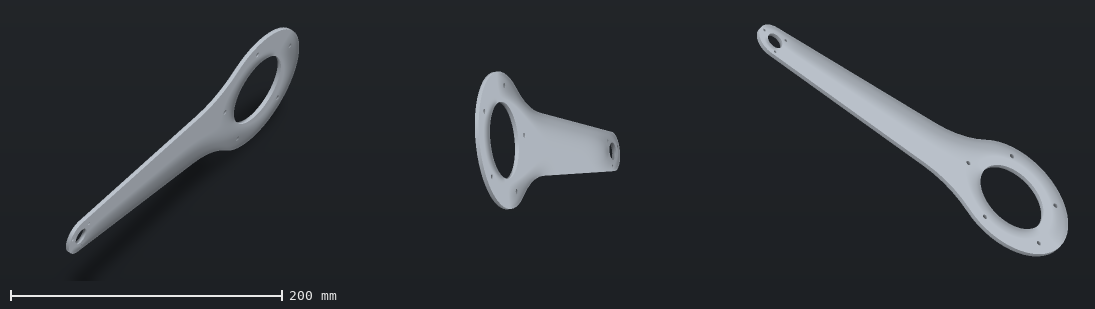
import cadquery as cq
import math

thickness = 3.0
overall_length = 279.5
overall_height = 106.2

hub_radius = 51.0
hub_bore_diameter = 57.0
hub_hole_diameter = 4.0
hub_hole_circle_radius = 41.5
hub_hole_count = 5

tip_radius = 14.5
tip_bore_diameter = 13.1
tip_hole_diameter = 2.38
tip_hole_circle_radius = 11.2
tip_hole_count = 3

edge_offset_at_hub = 28.0
neck_radius = 78.3

tip_u = overall_length - hub_radius - tip_radius
tip_v = overall_height - hub_radius - tip_radius
arm_length = math.hypot(tip_u, tip_v)
arm_angle = math.atan2(tip_v, tip_u)
taper_angle = math.asin((edge_offset_at_hub - tip_radius) / arm_length)


def polar(center, radius, angle):
    return (center[0] + radius * math.cos(angle), center[1] + radius * math.sin(angle))


def edge_points(side):
    """Hub tangency, neck arc middle, line start and tip tangency; side is +1 above, -1 below."""
    normal_angle = arm_angle + side * (math.pi / 2 - taper_angle)
    neck_turn = math.acos((edge_offset_at_hub + neck_radius) / (hub_radius + neck_radius))
    neck_angle = normal_angle - side * neck_turn
    neck_center = polar((0, 0), hub_radius + neck_radius, neck_angle)
    hub_tangent = polar((0, 0), hub_radius, neck_angle)
    neck_middle = polar(neck_center, -neck_radius, normal_angle - side * neck_turn / 2)
    line_start = polar(neck_center, -neck_radius, normal_angle)
    tip_tangent = polar((tip_u, tip_v), tip_radius, normal_angle)
    return hub_tangent, neck_middle, line_start, tip_tangent


def hole_pattern(center, circle_radius, count, start_angle):
    """Equally spaced points on a circle."""
    return [polar(center, circle_radius, start_angle + 2 * math.pi * i / count) for i in range(count)]


def make_blank():
    """Arm outline: hub, concave necks, tapering edges and round tip."""
    top_hub, top_neck, top_line, top_tip = edge_points(1)
    low_hub, low_neck, low_line, low_tip = edge_points(-1)
    return (
        plate_plane()
        .moveTo(*top_hub)
        .threePointArc(top_neck, top_line)
        .lineTo(*top_tip)
        .threePointArc(polar((tip_u, tip_v), tip_radius, arm_angle), low_tip)
        .lineTo(*low_line)
        .threePointArc(low_neck, low_hub)
        .threePointArc(polar((0, 0), -hub_radius, arm_angle), top_hub)
        .close()
        .extrude(thickness)
    )


def plate_plane():
    """Sketch plane at the +X face, extruding towards -X."""
    return cq.Workplane(cq.Plane(origin=(thickness, 0, 0), xDir=(0, -1, 0), normal=(-1, 0, 0)))


def make_holes(points, diameter):
    return plate_plane().pushPoints(points).circle(diameter / 2).extrude(thickness)


hub_holes = hole_pattern((0, 0), hub_hole_circle_radius, hub_hole_count, math.pi / 2)
tip_holes = hole_pattern((tip_u, tip_v), tip_hole_circle_radius, tip_hole_count, -math.pi / 2)

result = (
    make_blank()
    .cut(make_holes([(0, 0)], hub_bore_diameter))
    .cut(make_holes(hub_holes, hub_hole_diameter))
    .cut(make_holes([(tip_u, tip_v)], tip_bore_diameter))
    .cut(make_holes(tip_holes, tip_hole_diameter))
)